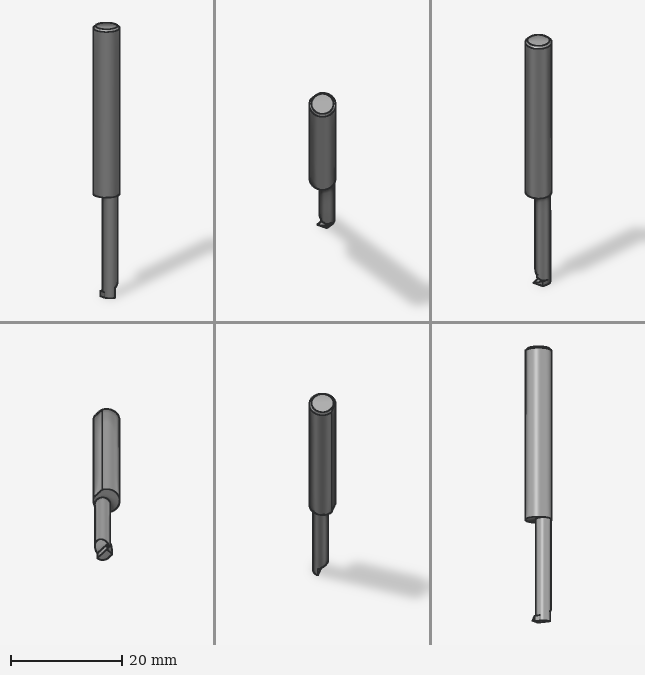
import cadquery as cq

total_length = 50.8
shank_radius = 2.4
flat_y = 2.15
shank_start = 19.1
shank_chamfer = 0.4

neck_diameter = 2.8
neck_radius = neck_diameter / 2
neck_x = shank_radius - neck_radius

rake_y = 0.0
runout_low_z = 1.9
runout_high_z = 3.05

block_left_x = -0.1
block_height = 1.0
undercut_top_z = 1.35
tooth_tip_x = -1.2
tooth_tip_z = 0.5
tooth_base_low_z = 0.0


def make_shank():
    shank = (
        cq.Workplane("XY").workplane(offset=shank_start)
        .circle(shank_radius).extrude(total_length - shank_start)
        .faces(">Z").chamfer(shank_chamfer)
    )
    beyond_flat = (
        cq.Workplane("XY").workplane(offset=shank_start)
        .center(0, flat_y + shank_radius / 2)
        .rect(2 * shank_radius, shank_radius).extrude(total_length - shank_start)
    )
    return shank.cut(beyond_flat)


def make_neck():
    neck = cq.Workplane("XY").center(neck_x, 0).circle(neck_radius).extrude(shank_start)
    neck_left_x = neck_x - neck_radius

    rake_cut = (
        cq.Workplane("YZ").workplane(offset=neck_left_x)
        .polyline([
            (rake_y, 0),
            (neck_radius, 0),
            (neck_radius, runout_high_z),
            (rake_y, runout_low_z),
        ]).close().extrude(2 * neck_radius)
    )
    undercut = (
        cq.Workplane("XZ").workplane(offset=-neck_radius)
        .polyline([
            (neck_left_x, 0),
            (block_left_x, 0),
            (block_left_x, block_height),
            (neck_left_x, undercut_top_z),
        ]).close().extrude(2 * neck_radius)
    )
    return neck.cut(rake_cut).cut(undercut)


def make_block():
    return cq.Workplane("XY").box(
        neck_x - block_left_x, neck_radius + rake_y, block_height, centered=False
    ).translate((block_left_x, -neck_radius, 0))


def make_tooth():
    profile = (
        cq.Workplane("XZ").workplane(offset=-rake_y)
        .polyline([
            (tooth_tip_x, tooth_tip_z),
            (block_left_x, block_height),
            (neck_x, block_height),
            (neck_x, tooth_base_low_z),
            (block_left_x, tooth_base_low_z),
        ]).close().extrude(neck_radius)
    )
    relief_outline = (
        cq.Workplane("XY")
        .polyline([
            (tooth_tip_x, rake_y),
            (neck_x, rake_y),
            (neck_x, -neck_radius),
            (block_left_x, -neck_radius),
        ]).close().extrude(block_height)
    )
    return profile.intersect(relief_outline)


result = make_shank().union(make_neck()).union(make_block()).union(make_tooth())